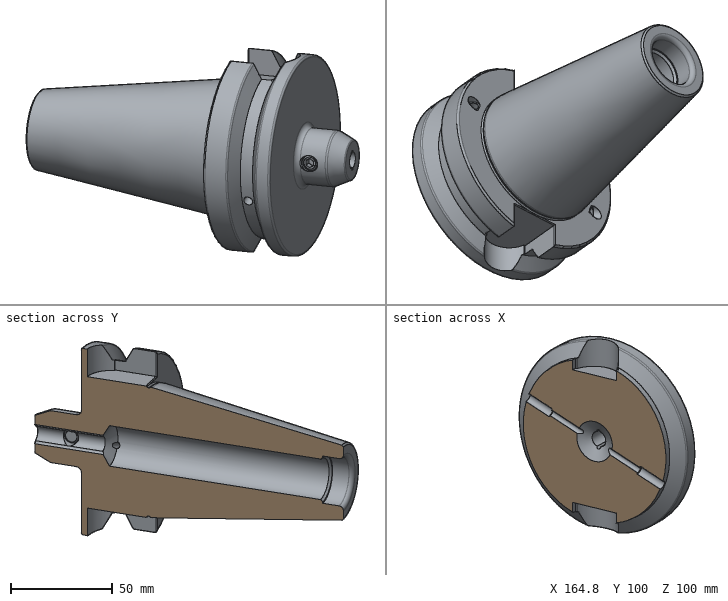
import cadquery as cq
import math


GAUGE_DIAMETER = 69.9
TAPER_LENGTH = 101.8
TAPER_RATIO = 7 / 24
TAPER_END_CHAMFER = 0.8
LAND_END = 1.0
RELIEF_BOTTOM = 2.1
RELIEF_DEPTH = 0.7

FLANGE_START = 3.0
FLANGE_END = 38.0
FLANGE_DIAMETER = 100.0
FLANGE_EDGE_FILLET = 1.0
V_CENTER = 23.0
V_BOTTOM_WIDTH = 6.5
V_BOTTOM_DIAMETER = 85.0
V_WALL_ANGLE = 30
V_EDGE_FILLET = 1.0

SLOT_WIDTH = 25.7
SLOT_FLOOR = 35.3
SLOT_WALL_END = 25.2
SLOT_END_RADIUS = 12.4
SLOT_END = 34.6
SLOT_CHAMFER = 0.5
CHAMFER_ANGLE = 45

NOSE_END = 63.0
NOSE_DIAMETER = 28.0
NOSE_FILLET = 2.6
NOSE_CONE_START = 54.4
NOSE_TIP_DIAMETER = 20.1
NOSE_BLEND_RADIUS = 2.5
NOSE_TIP_FILLET = 0.8

MOUTH_DIAMETER = 25.0
MOUTH_FILLET = 2.3
MOUTH_DEPTH = 11.0
COUNTERSINK_DIAMETER = 23.7
DRAWBAR_BORE_DIAMETER = 21.5
DRAWBAR_BORE_END = 22.9
DRILL_POINT_ANGLE = 118

TOOL_BORE_DIAMETER = 8.0
COOLANT_GROOVE_DIAMETER = 2.0

CHANNEL_TILT = 20
BORE_CHANNEL_DIAMETER = 3.0
FEED_DIAMETER = 4.6
FEED_MOUTH_DIAMETER = 6.6
FEED_MOUTH_DEPTH = 2.0
FEED_MOUTH_RADIUS = 41.9
FEED_ANGLE = 35

SCREW_X = 45.2
SCREW_DIAMETER = 8.0
SCREW_TOP = 12.5
SCREW_TIP = 4.3
SCREW_CHAMFER = 1.0
SOCKET_WIDTH = 4.0
SOCKET_DEPTH = 4.0
SCREW_HOLE_MOUTH = 9.4

TAPER_END = -TAPER_LENGTH
TAPER_END_RADIUS = (GAUGE_DIAMETER - TAPER_LENGTH * TAPER_RATIO) / 2
GAUGE_RADIUS = GAUGE_DIAMETER / 2
FLANGE_RADIUS = FLANGE_DIAMETER / 2
NOSE_RADIUS = NOSE_DIAMETER / 2
V_BOTTOM_RADIUS = V_BOTTOM_DIAMETER / 2


def revolved(points):
    """Turn a closed outline of (x, radius) points about the X axis."""
    outline = cq.Workplane("XZ").polyline(points).close()
    return outline.revolve(360, (0, 0, 0), (1, 0, 0))


def cylinder(start, direction, diameter, length):
    """A round bar that starts at a point and runs along a direction."""
    solid = cq.Solid.makeCylinder(diameter / 2, length, cq.Vector(*start), cq.Vector(*direction))
    return cq.Workplane(solid)


def round_edge(body, x, radius, fillet):
    """Fillet the circular edge at the given place along the axis."""
    margin = 0.08
    box = cq.selectors.BoxSelector(
        (x - margin, -radius - margin, -radius - margin),
        (x + margin, radius + margin, radius + margin),
        boundingbox=True,
    )
    return body.edges(box).edges(cq.selectors.RadiusNthSelector(-1)).fillet(fillet)


def taper_shank():
    chamfer_x = TAPER_END + TAPER_END_CHAMFER
    chamfer_radius = TAPER_END_RADIUS + TAPER_END_CHAMFER * TAPER_RATIO / 2
    return revolved([
        (TAPER_END, 0),
        (TAPER_END, TAPER_END_RADIUS - TAPER_END_CHAMFER),
        (chamfer_x, chamfer_radius),
        (0, GAUGE_RADIUS),
        (LAND_END, GAUGE_RADIUS),
        (RELIEF_BOTTOM, GAUGE_RADIUS - RELIEF_DEPTH),
        (FLANGE_START, GAUGE_RADIUS),
        (FLANGE_START, 0),
    ])


def flange():
    wall_run = (FLANGE_RADIUS - V_BOTTOM_RADIUS) * math.tan(math.radians(V_WALL_ANGLE))
    bottom_start = V_CENTER - V_BOTTOM_WIDTH / 2
    bottom_end = V_CENTER + V_BOTTOM_WIDTH / 2
    v_start = bottom_start - wall_run
    v_end = bottom_end + wall_run
    body = revolved([
        (FLANGE_START, 0),
        (FLANGE_START, FLANGE_RADIUS),
        (v_start, FLANGE_RADIUS),
        (bottom_start, V_BOTTOM_RADIUS),
        (bottom_end, V_BOTTOM_RADIUS),
        (v_end, FLANGE_RADIUS),
        (FLANGE_END, FLANGE_RADIUS),
        (FLANGE_END, 0),
    ])
    for v_edge in (v_start, v_end):
        body = round_edge(body, v_edge, FLANGE_RADIUS, V_EDGE_FILLET)
    for flange_edge in (FLANGE_START, FLANGE_END):
        body = round_edge(body, flange_edge, FLANGE_RADIUS, FLANGE_EDGE_FILLET)
    return body


def nose():
    body = revolved([
        (FLANGE_END, 0),
        (FLANGE_END, NOSE_RADIUS),
        (NOSE_CONE_START, NOSE_RADIUS),
        (NOSE_END, NOSE_TIP_DIAMETER / 2),
        (NOSE_END, 0),
    ])
    body = round_edge(body, NOSE_CONE_START, NOSE_RADIUS, NOSE_BLEND_RADIUS)
    return round_edge(body, NOSE_END, NOSE_TIP_DIAMETER / 2, NOSE_TIP_FILLET)


def drive_slots():
    """Cutters for the two opposite slots, each a straight channel with a slightly narrower round end."""
    channel = cq.Workplane("XY").box(
        SLOT_WALL_END - FLANGE_START, SLOT_WIDTH, FLANGE_RADIUS, centered=(False, True, False)
    ).translate((FLANGE_START, 0, SLOT_FLOOR))
    round_end = cylinder(
        (SLOT_END - SLOT_END_RADIUS, 0, SLOT_FLOOR), (0, 0, 1), 2 * SLOT_END_RADIUS, FLANGE_RADIUS
    )
    chamfer = (
        cq.Workplane("YZ", origin=(FLANGE_START, 0, SLOT_FLOOR + FLANGE_RADIUS / 2))
        .rect(SLOT_WIDTH + 2 * SLOT_CHAMFER, FLANGE_RADIUS + 2 * SLOT_CHAMFER)
        .extrude(SLOT_CHAMFER, taper=CHAMFER_ANGLE)
    )
    slot = channel.union(round_end).union(chamfer)
    return slot.union(slot.mirror("XY"))


def drawbar_bore():
    mouth_radius = MOUTH_DIAMETER / 2
    bore_radius = DRAWBAR_BORE_DIAMETER / 2
    countersink_radius = COUNTERSINK_DIAMETER / 2
    step_x = TAPER_END + MOUTH_DEPTH
    point_length = bore_radius / math.tan(math.radians(DRILL_POINT_ANGLE / 2))
    return revolved([
        (TAPER_END, 0),
        (TAPER_END, mouth_radius),
        (step_x, mouth_radius),
        (step_x, countersink_radius),
        (step_x + countersink_radius - bore_radius, bore_radius),
        (DRAWBAR_BORE_END, bore_radius),
        (DRAWBAR_BORE_END + point_length, 0),
    ])


def tool_bore():
    """Cutter for the tool bore with a coolant groove at its top and bottom."""
    length = NOSE_END - DRAWBAR_BORE_END
    axis = (1, 0, 0)
    cutter = cylinder((DRAWBAR_BORE_END, 0, 0), axis, TOOL_BORE_DIAMETER, length)
    for side in (1, -1):
        groove_start = (DRAWBAR_BORE_END, 0, side * TOOL_BORE_DIAMETER / 2)
        cutter = cutter.union(cylinder(groove_start, axis, COOLANT_GROOVE_DIAMETER, length))
    return cutter


def coolant_channels():
    """Cutters for two opposite channels from the flange face and the V-groove to the drawbar bore."""
    slant = math.radians(FEED_ANGLE)
    feed_direction = (math.cos(slant), -math.sin(slant), 0)
    outward = (0, 1, 0)
    junction_radius = FEED_MOUTH_RADIUS - (V_CENTER - FLANGE_START) * math.tan(slant)
    junction = (V_CENTER, junction_radius, 0)
    lead_in = FEED_MOUTH_DIAMETER
    feed_start = (
        FLANGE_START - lead_in * math.cos(slant),
        FEED_MOUTH_RADIUS + lead_in * math.sin(slant),
        0,
    )
    feed_length = lead_in + (V_CENTER - FLANGE_START) / math.cos(slant)
    channel = (
        cylinder((V_CENTER, 0, 0), outward, BORE_CHANNEL_DIAMETER, junction_radius)
        .union(cylinder(junction, outward, FEED_DIAMETER, FLANGE_RADIUS - junction_radius))
        .union(cylinder(feed_start, feed_direction, FEED_DIAMETER, feed_length))
        .union(cylinder(feed_start, feed_direction, FEED_MOUTH_DIAMETER, lead_in + FEED_MOUTH_DEPTH))
        .rotate((0, 0, 0), (1, 0, 0), CHANNEL_TILT)
    )
    return channel.union(channel.rotate((0, 0, 0), (1, 0, 0), 180))


def screw_hole():
    """Cutter for the countersunk hole from the tool bore to the -Y side of the nose."""
    countersink = (SCREW_HOLE_MOUTH - SCREW_DIAMETER) / 2
    hole = cylinder((SCREW_X, 0, 0), (0, -1, 0), SCREW_DIAMETER, NOSE_DIAMETER)
    cone = cq.Solid.makeCone(
        SCREW_DIAMETER / 2 - countersink,
        SCREW_HOLE_MOUTH / 2 + countersink,
        3 * countersink,
        cq.Vector(SCREW_X, -NOSE_RADIUS + 2 * countersink, 0),
        cq.Vector(0, -1, 0),
    )
    return hole.union(cq.Workplane(cone))


def make_holder():
    body = taper_shank().union(flange()).union(nose())
    body = round_edge(body, FLANGE_END, NOSE_RADIUS, NOSE_FILLET)
    body = body.cut(drive_slots())
    body = body.cut(drawbar_bore())
    body = round_edge(body, TAPER_END, MOUTH_DIAMETER / 2, MOUTH_FILLET)
    body = body.cut(tool_bore())
    body = body.cut(coolant_channels())
    return body.cut(screw_hole())


def make_clamping_screw():
    screw = cylinder((SCREW_X, -SCREW_TIP, 0), (0, -1, 0), SCREW_DIAMETER, SCREW_TOP - SCREW_TIP)
    screw = screw.faces("<Y or >Y").chamfer(SCREW_CHAMFER)
    socket = (
        cq.Workplane("XZ", origin=(SCREW_X, -SCREW_TOP, 0))
        .polygon(6, SOCKET_WIDTH, circumscribed=True)
        .extrude(-SOCKET_DEPTH)
    )
    return screw.cut(socket)


holder = make_holder()
clamping_screw = make_clamping_screw()

result = cq.Compound.makeCompound([holder.val(), clamping_screw.val()])